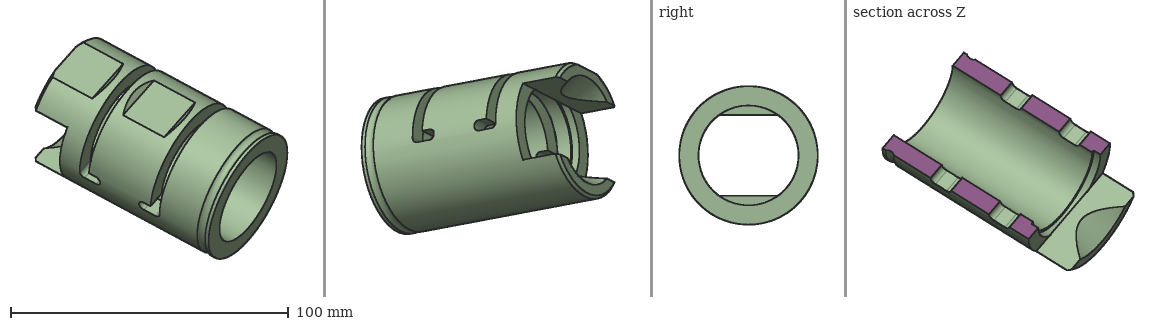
import cadquery as cq
import math

LENGTH = 80.0
OUTER_RADIUS = 50.0 / 2
BORE_RADIUS = 36.0 / 2
JAW_CHAMFER = 1.1

JAW_GAP = 29.0
JAW_LENGTH = 14.8
RECESS_MOUTH_RADIUS = 20.0
RECESS_HALF_ANGLE = 30.0
COUNTERBORE_RADIUS = 38.0 / 2
COUNTERBORE_DEPTH = 3.0

FLAT_DEPTH = 2.0
FLAT_HEIGHT = OUTER_RADIUS - FLAT_DEPTH
FRONT_FLAT_END = 18.5

TONGUE_CENTER = 41.0
CUT_WIDTH = 4.0
CUT_OUTER_OFFSET = 17.5
CUT_FOOT_LENGTH = 9.0
CENTER_FLAT_LENGTH = 18.0

GROOVE_START = 75.0
GROOVE_END = 78.5
GROOVE_DEPTH = 0.7

CLEARANCE = 1.0
ACROSS = 2 * (OUTER_RADIUS + CLEARANCE)


def cylinder(radius, start, end):
    """Cylinder on the X axis between two X positions."""
    return cq.Workplane("YZ").workplane(offset=start).circle(radius).extrude(end - start)


def box(x_start, x_end, z_start, z_end):
    """Block reaching across the whole part in Y."""
    return (
        cq.Workplane("XY")
        .box(x_end - x_start, ACROSS, z_end - z_start, centered=(False, True, False))
        .translate((x_start, 0, z_start))
    )


def make_body():
    """Solid cylinder with its jaw-end rim chamfered."""
    body = cylinder(OUTER_RADIUS, 0, LENGTH)
    return body.faces("<X").edges().chamfer(JAW_CHAMFER)


def make_groove():
    """Ring with an arc-shaped bottom, revolved about the X axis."""
    outside = OUTER_RADIUS + CLEARANCE
    middle = (GROOVE_START + GROOVE_END) / 2
    return (
        cq.Workplane("XZ")
        .moveTo(GROOVE_START, outside)
        .lineTo(GROOVE_START, OUTER_RADIUS)
        .threePointArc((middle, OUTER_RADIUS - GROOVE_DEPTH), (GROOVE_END, OUTER_RADIUS))
        .lineTo(GROOVE_END, outside)
        .close()
        .revolve(360, (0, 0, 0), (1, 0, 0))
    )


def make_jaw_recess():
    """Cone that narrows inward; only its mouth is wide enough to bite into the jaws."""
    apex = RECESS_MOUTH_RADIUS / math.tan(math.radians(RECESS_HALF_ANGLE))
    return (
        cq.Workplane("XZ")
        .polyline([(0, 0), (0, RECESS_MOUTH_RADIUS), (apex, 0)])
        .close()
        .revolve(360, (0, 0, 0), (1, 0, 0))
    )


def make_flat(start, end):
    """Block that mills a flat between two X positions; its ends slope outward at 45 degrees."""
    rise = FLAT_DEPTH + CLEARANCE
    return (
        cq.Workplane("XZ")
        .polyline([
            (start, FLAT_HEIGHT),
            (end, FLAT_HEIGHT),
            (end + rise, FLAT_HEIGHT + rise),
            (start - rise, FLAT_HEIGHT + rise),
        ])
        .close()
        .extrude(ACROSS / 2, both=True)
    )


def make_l_cut():
    """L-shaped cut on the jaw side of the tongue, its foot pointing at the tongue center."""
    start = TONGUE_CENTER - CUT_OUTER_OFFSET
    leg = box(start, start + CUT_WIDTH, 0, OUTER_RADIUS + CLEARANCE)
    foot = (
        cq.Workplane("XZ")
        .center(start + CUT_FOOT_LENGTH / 2, 0)
        .slot2D(CUT_FOOT_LENGTH, CUT_WIDTH)
        .extrude(ACROSS / 2, both=True)
    )
    return leg.union(foot)


jaw_gap = box(-CLEARANCE, JAW_LENGTH, -JAW_GAP / 2, JAW_GAP / 2)
bore = cylinder(BORE_RADIUS, JAW_LENGTH, LENGTH + CLEARANCE)
counterbore = cylinder(COUNTERBORE_RADIUS, JAW_LENGTH, JAW_LENGTH + COUNTERBORE_DEPTH)
front_flat = make_flat(-CLEARANCE, FRONT_FLAT_END)
center_flat = make_flat(TONGUE_CENTER - CENTER_FLAT_LENGTH / 2, TONGUE_CENTER + CENTER_FLAT_LENGTH / 2)
front_cut = make_l_cut()
rear_cut = front_cut.mirror("YZ", (TONGUE_CENTER, 0, 0))

result = make_body()
for cutter in (
    make_groove(),
    jaw_gap,
    make_jaw_recess(),
    bore,
    counterbore,
    front_flat,
    center_flat,
    front_cut,
    rear_cut,
):
    result = result.cut(cutter)